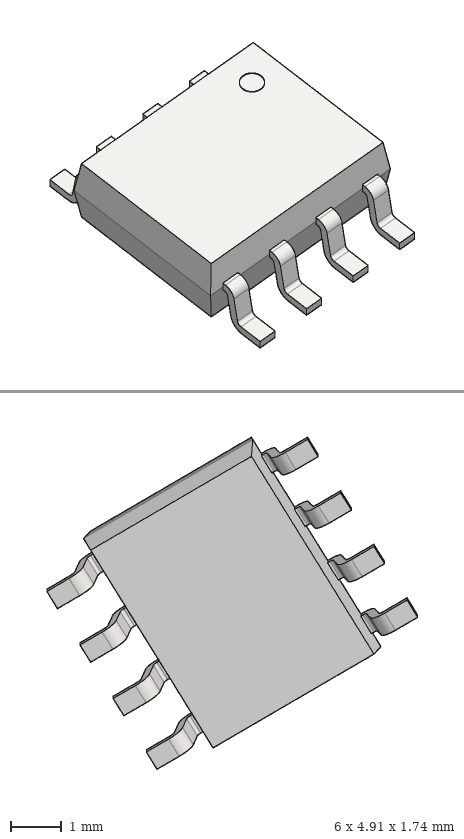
import cadquery as cq
import math

BODY_WIDTH = 3.895
BODY_LENGTH = 4.91
BODY_HEIGHT = 1.56
STANDOFF = 0.18
END_DRAFT = 8.0
SIDE_DRAFT = 7.0
HALF_HEIGHT = BODY_HEIGHT / 2
FACE_WIDTH = BODY_WIDTH - 2 * HALF_HEIGHT * math.tan(math.radians(SIDE_DRAFT))
FACE_LENGTH = BODY_LENGTH - 2 * HALF_HEIGHT * math.tan(math.radians(END_DRAFT))
PARTING_Z = STANDOFF + HALF_HEIGHT
BODY_TOP_Z = STANDOFF + BODY_HEIGHT

MARK_DIAMETER = 0.5
MARK_DEPTH = 0.02
MARK_X = -1.1
MARK_Y = 1.59

LEAD_SPAN = 6.0
LEADS_PER_SIDE = 4
LEAD_PITCH = 1.27
LEAD_WIDTH = 0.41
LEAD_THICKNESS = 0.19
FOOT_LENGTH = 0.63
LEG_ANGLE = 10.0
HEEL_INNER_RADIUS = 0.1
HEEL_OUTER_RADIUS = 0.33
SHOULDER_INNER_RADIUS = 0.08
SHOULDER_OUTER_RADIUS = 0.25
LEAD_EMBED = 0.3


def body_half(face_z):
    """Half of the body, tapering from the parting plane to a flat face at face_z."""
    return (
        cq.Workplane("XY")
        .workplane(offset=PARTING_Z)
        .rect(BODY_WIDTH, BODY_LENGTH)
        .workplane(offset=face_z - PARTING_Z)
        .rect(FACE_WIDTH, FACE_LENGTH)
        .loft(ruled=True)
    )


def pin_one_mark():
    """Cutter for the pin-one recess."""
    return (
        cq.Workplane("XY")
        .workplane(offset=BODY_TOP_Z - MARK_DEPTH)
        .center(MARK_X, MARK_Y)
        .circle(MARK_DIAMETER / 2)
        .extrude(MARK_DEPTH)
    )


def left_lead():
    """One lead on the -X side, centred on Y = 0."""
    toe_x = -LEAD_SPAN / 2
    root_x = -BODY_WIDTH / 2 + LEAD_EMBED
    root_top_z = PARTING_Z + LEAD_THICKNESS / 2
    root_bottom_z = root_top_z - LEAD_THICKNESS

    lean = math.radians(LEG_ANGLE)
    rise = root_top_z - LEAD_THICKNESS
    leg_width_x = LEAD_THICKNESS / math.cos(lean)
    heel_inner_x = toe_x + FOOT_LENGTH
    heel_outer_x = heel_inner_x + leg_width_x - LEAD_THICKNESS * math.tan(lean)
    shoulder_outer_x = heel_inner_x + rise * math.tan(lean)
    shoulder_inner_x = heel_outer_x + root_bottom_z * math.tan(lean)

    lead = (
        cq.Workplane("XZ")
        .moveTo(toe_x, 0)
        .lineTo(toe_x, LEAD_THICKNESS)
        .lineTo(heel_inner_x, LEAD_THICKNESS)
        .lineTo(shoulder_outer_x, root_top_z)
        .lineTo(root_x, root_top_z)
        .lineTo(root_x, root_bottom_z)
        .lineTo(shoulder_inner_x, root_bottom_z)
        .lineTo(heel_outer_x, 0)
        .close()
        .extrude(LEAD_WIDTH / 2, both=True)
    )

    bends = [
        (heel_inner_x, LEAD_THICKNESS, HEEL_INNER_RADIUS),
        (heel_outer_x, 0, HEEL_OUTER_RADIUS),
        (shoulder_inner_x, root_bottom_z, SHOULDER_INNER_RADIUS),
        (shoulder_outer_x, root_top_z, SHOULDER_OUTER_RADIUS),
    ]
    for corner_x, corner_z, radius in bends:
        corner_edge = cq.selectors.NearestToPointSelector((corner_x, 0, corner_z))
        lead = lead.edges("|Y").edges(corner_edge).fillet(radius)
    return lead


body = body_half(BODY_TOP_Z).union(body_half(STANDOFF)).cut(pin_one_mark())

lead = left_lead()
lead_pair = lead.union(lead.mirror("YZ"))

result = body
for index in range(LEADS_PER_SIDE):
    lead_y = (index - (LEADS_PER_SIDE - 1) / 2) * LEAD_PITCH
    result = result.union(lead_pair.translate((0, lead_y, 0)))